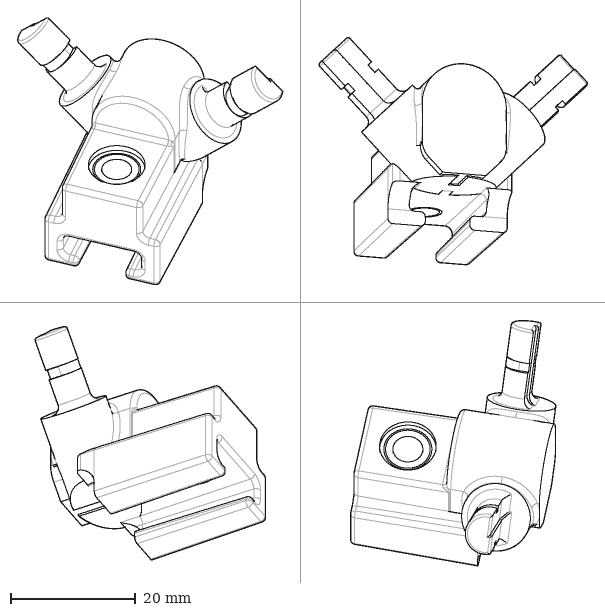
import cadquery as cq
import math

OVERALL_WIDTH = 44.55


BLOCK_FRONT_Y = -24.15
BLOCK_SPLIT_Y = -3.2
BLOCK_REAR_Y = 0.25
BLOCK_REAR_ROUND = 1.0
DRAFT_ANGLE = 0.6
BLOCK_HALF_WIDTH = 9.97
LEDGE_Z = 9.95
DECK_Z = 17.5
INNER_CORNER = 1.0
WALL_FOOT_Z = LEDGE_Z + INNER_CORNER
EDGE_ROUND = 0.8

SLOT_HALF_WIDTH = 6.45
SLOT_MOUTH_HALF_WIDTH = 3.75
LIP_HEIGHT = 2.35
SLOT_CEILING_Z = 6.2
COVE_RADIUS = 3.8

BARREL_RADIUS = 7.05
BARREL_AXIS_Z = 17.75
BARREL_FRONT_Y = -8.95
BARREL_REAR_Y = 6.32
BARREL_FOOT_Z = 6.4
BARREL_FOOT_HALF_WIDTH = 3.6
BARREL_SIDE_ROUND = 3.65
DECK_FILLET = 0.7

STUB_ORIGIN_Z = 7.1
BOSS_RADIUS = 5.55
BOSS_END = 15.67
BOSS_FILLET = 0.8
BOSS_RIM_CHAMFER = 0.1
STUB_RADIUS = 3.35
STUB_TIP_ROUND = 0.4
STUB_END = (
    (OVERALL_WIDTH / 2 - STUB_TIP_ROUND) * math.sqrt(2) - STUB_RADIUS + 2 * STUB_TIP_ROUND
)
STUB_ROOT_FILLET = 1.3
FLAT_Y_OUTER = 1.1
FLAT_Y_INNER = 0.7
GROOVE_START = 21.3
GROOVE_END = 22.9
GROOVE_NECK_RADIUS = 2.45

BUSHING_Y = -16.48
COUNTERBORE_DIAMETER = 9.1
COUNTERBORE_DEPTH = 1.0
RING_DIAMETER = 7.7
FLANGE_DIAMETER = 7.15
FLANGE_THICKNESS = 1.0
TUBE_DIAMETER = 5.6
BORE_DIAMETER = 4.8

DRAFT_SLOPE = math.tan(math.radians(DRAFT_ANGLE))
BUSHING_DRAFT = (BLOCK_SPLIT_Y - BUSHING_Y) * DRAFT_SLOPE
BUSHING_TOP_Z = DECK_Z - BUSHING_DRAFT - COUNTERBORE_DEPTH
BUSHING_FOOT_Z = SLOT_CEILING_Z + BUSHING_DRAFT


def section_plane(y):
    """Plane facing -Y, with local x along X and local y along Z."""
    return cq.Workplane("XZ", origin=(0, y, 0))


def block_section(plane):
    """Half of the C-shaped section as points, closed by its mirror image."""
    quarter = INNER_CORNER * (1 - math.sqrt(0.5))
    wall, slot, r = BARREL_RADIUS, SLOT_HALF_WIDTH, INNER_CORNER
    return (
        plane.moveTo(0, DECK_Z)
        .lineTo(wall, DECK_Z)
        .lineTo(wall, LEDGE_Z + r)
        .threePointArc((wall + quarter, LEDGE_Z + quarter), (wall + r, LEDGE_Z))
        .lineTo(BLOCK_HALF_WIDTH, LEDGE_Z)
        .lineTo(BLOCK_HALF_WIDTH, 0)
        .lineTo(SLOT_MOUTH_HALF_WIDTH, 0)
        .lineTo(SLOT_MOUTH_HALF_WIDTH, LIP_HEIGHT)
        .lineTo(slot - r, LIP_HEIGHT)
        .threePointArc((slot - quarter, LIP_HEIGHT + quarter), (slot, LIP_HEIGHT + r))
        .lineTo(slot, SLOT_CEILING_Z - r)
        .threePointArc((slot - quarter, SLOT_CEILING_Z - quarter), (slot - r, SLOT_CEILING_Z))
        .lineTo(0, SLOT_CEILING_Z)
        .mirrorY()
    )


def lengthwise_edges(block, corners):
    """Edges along Y that end at the given (half width, z) corners of the section, on both sides."""
    reach = 0.55
    edges = cq.Workplane()
    for half_width, z in corners:
        for x in (-half_width, half_width):
            low = (x - reach, BLOCK_FRONT_Y, z - reach)
            high = (x + reach, BLOCK_REAR_Y, z + reach)
            edges = edges.add(block.edges("not(#Y)").edges(cq.selectors.BoxSelector(low, high)))
    return edges.vals()


def make_front_block():
    length = BLOCK_SPLIT_Y - BLOCK_FRONT_Y
    block = block_section(section_plane(BLOCK_SPLIT_Y)).extrude(length, taper=DRAFT_ANGLE)
    corners = [
        (BARREL_RADIUS, DECK_Z),
        (BLOCK_HALF_WIDTH, LEDGE_Z),
        (BLOCK_HALF_WIDTH, 0),
        (SLOT_MOUTH_HALF_WIDTH, 0),
        (SLOT_MOUTH_HALF_WIDTH, LIP_HEIGHT),
    ]
    front_edges = block.faces("<Y").edges().vals()
    return block.newObject(front_edges + lengthwise_edges(block, corners)).fillet(EDGE_ROUND)


def make_rear_block():
    """Undrafted end of the block that carries on to the bosses."""
    length = BLOCK_REAR_Y - BLOCK_SPLIT_Y
    block = block_section(section_plane(BLOCK_REAR_Y)).extrude(length)
    corners = [(BLOCK_HALF_WIDTH, LEDGE_Z), (BLOCK_HALF_WIDTH, 0)]
    block = block.newObject(lengthwise_edges(block, corners)).fillet(EDGE_ROUND)
    rear_corners = [
        block.edges(cq.selectors.NearestToPointSelector((x, BLOCK_REAR_Y, LEDGE_Z / 2))).val()
        for x in (-BLOCK_HALF_WIDTH, BLOCK_HALF_WIDTH)
    ]
    return block.newObject(rear_corners).fillet(BLOCK_REAR_ROUND)


def barrel_arch(y, foot_z):
    """Straight-sided arch section of the barrel, standing on foot_z."""
    return (
        section_plane(y)
        .moveTo(-BARREL_RADIUS, foot_z)
        .lineTo(-BARREL_RADIUS, BARREL_AXIS_Z)
        .threePointArc((0, BARREL_AXIS_Z + BARREL_RADIUS), (BARREL_RADIUS, BARREL_AXIS_Z))
        .lineTo(BARREL_RADIUS, foot_z)
        .close()
    )


def make_front_barrel():
    """Front part of the barrel, standing on the block."""
    barrel = barrel_arch(BLOCK_SPLIT_Y, WALL_FOOT_Z).extrude(BLOCK_SPLIT_Y - BARREL_FRONT_Y)
    return barrel.faces("<Y").edges(">Z").fillet(EDGE_ROUND)


def make_rear_barrel():
    """Rear part of the barrel, which narrows to its foot along 45 degree planes."""
    r = BARREL_SIDE_ROUND
    slope_x = BARREL_RADIUS - r * (1 - math.sqrt(0.5))
    slope_z = BARREL_FOOT_Z + slope_x - BARREL_FOOT_HALF_WIDTH
    side_z = slope_z + r * math.sqrt(0.5)
    half_bend = math.radians(22.5)
    mid_x = BARREL_RADIUS - r * (1 - math.cos(half_bend))
    mid_z = side_z - r * math.sin(half_bend)
    top = barrel_arch(BARREL_REAR_Y, side_z).extrude(BARREL_REAR_Y - BLOCK_SPLIT_Y)
    foot = (
        section_plane(BARREL_REAR_Y)
        .moveTo(0, side_z)
        .lineTo(BARREL_RADIUS, side_z)
        .threePointArc((mid_x, mid_z), (slope_x, slope_z))
        .lineTo(BARREL_FOOT_HALF_WIDTH, BARREL_FOOT_Z)
        .lineTo(0, BARREL_FOOT_Z)
        .mirrorY()
        .extrude(BARREL_REAR_Y - BLOCK_SPLIT_Y)
    )
    return top.union(foot)


def stub_plane(distance):
    """Plane across the left stub axis; local x points to its inner, upper side, local y along Y."""
    offset = distance * math.sqrt(0.5)
    origin = (-offset, 0, STUB_ORIGIN_Z + offset)
    return cq.Workplane(cq.Plane(origin=origin, xDir=(1, 0, 1), normal=(-1, 0, 1)))


def make_boss():
    """Boss cylinder, cut off flush with the slot ceiling."""
    boss = stub_plane(0).circle(BOSS_RADIUS).extrude(BOSS_END)
    reach = 2 * BOSS_END
    below = cq.Workplane("XY").box(reach, reach, reach).translate((0, 0, SLOT_CEILING_Z - reach / 2))
    return boss.cut(below)


def make_boss_fillet():
    """Fillet between the boss and the straight barrel sides, above the foot of the block's wall."""
    boss = stub_plane(0).circle(BOSS_RADIUS).extrude(BOSS_END)
    depth = BARREL_REAR_Y - BARREL_FRONT_Y
    arch = barrel_arch(BARREL_REAR_Y + depth, -depth).extrude(3 * depth)
    joined = arch.union(boss).edges("%ELLIPSE or %BSPLINE").fillet(BOSS_FILLET)
    size = 4 * depth
    keep = section_plane(BARREL_REAR_Y).center(0, WALL_FOOT_Z + size / 2).rect(size, size).extrude(depth)
    return joined.cut(arch).intersect(keep)


def make_stub():
    """Half-round stub with a stepped flat, a tip round and a retaining groove."""
    size = 2 * STUB_RADIUS
    length = STUB_END - BOSS_END
    stub = stub_plane(BOSS_END).circle(STUB_RADIUS).extrude(length)
    for side_x, flat_y in [(-STUB_RADIUS, FLAT_Y_OUTER), (STUB_RADIUS, FLAT_Y_INNER)]:
        flat_cut = stub_plane(BOSS_END).center(side_x, flat_y + STUB_RADIUS).rect(size, size).extrude(length)
        stub = stub.cut(flat_cut)
    tip = cq.selectors.DirectionMinMaxSelector(stub_plane(STUB_END).plane.zDir, True)
    stub = stub.faces(tip).edges().fillet(STUB_TIP_ROUND)
    return stub.cut(make_groove())


def make_groove():
    """Space around the groove neck; the neck meets the stub's front line, so the groove runs out there."""
    width = GROOVE_END - GROOVE_START
    neck_y = GROOVE_NECK_RADIUS - STUB_RADIUS
    neck_width = 2 * GROOVE_NECK_RADIUS
    round_neck = stub_plane(GROOVE_START).center(0, neck_y).circle(GROOVE_NECK_RADIUS).extrude(width)
    straight_neck = (
        stub_plane(GROOVE_START)
        .center(0, neck_y + STUB_RADIUS)
        .rect(neck_width, 2 * STUB_RADIUS)
        .extrude(width)
    )
    around = stub_plane(GROOVE_START).circle(2 * STUB_RADIUS).extrude(width)
    return around.cut(round_neck).cut(straight_neck)


def make_arm():
    """Left boss with its stub, the fillet at the stub's root and the chamfered rim."""
    arm = make_boss().union(make_stub())
    end_center = stub_plane(BOSS_END).plane.origin.toTuple()
    end_face = arm.faces(cq.selectors.NearestToPointSelector(end_center))
    root_edges = end_face.val().innerWires()[0].Edges()
    rim_edges = end_face.val().outerWire().Edges()
    arm = arm.newObject(root_edges).fillet(STUB_ROOT_FILLET)
    arm = arm.newObject(rim_edges).chamfer(BOSS_RIM_CHAMFER)
    return arm.union(make_boss_fillet())


def make_under_cut():
    """Space below the rear end, rounded into the block by the cove."""
    r = COVE_RADIUS
    wide = 2 * BLOCK_HALF_WIDTH + 0.45
    quarter = r * (1 - math.sqrt(0.5))
    return (
        cq.Workplane("YZ", origin=(-wide / 2, 0, 0))
        .moveTo(BLOCK_SPLIT_Y, 0)
        .lineTo(BLOCK_SPLIT_Y, SLOT_CEILING_Z - r)
        .threePointArc(
            (BLOCK_SPLIT_Y + quarter, SLOT_CEILING_Z - quarter),
            (BLOCK_SPLIT_Y + r, SLOT_CEILING_Z),
        )
        .lineTo(BARREL_REAR_Y, SLOT_CEILING_Z)
        .lineTo(BARREL_REAR_Y, 0)
        .close()
        .extrude(wide)
    )


def cylinder(diameter, bottom_z, top_z):
    return cq.Workplane("XY", origin=(0, BUSHING_Y, bottom_z)).circle(diameter / 2).extrude(top_z - bottom_z)


def make_flange_seat(diameter):
    return cylinder(diameter, BUSHING_TOP_Z - FLANGE_THICKNESS, BUSHING_TOP_Z)


def make_bushing():
    tube = cylinder(TUBE_DIAMETER, BUSHING_FOOT_Z, BUSHING_TOP_Z)
    return tube.union(make_flange_seat(FLANGE_DIAMETER)).cut(cylinder(BORE_DIAMETER, 0, DECK_Z))


def make_ring():
    return make_flange_seat(RING_DIAMETER).cut(make_flange_seat(FLANGE_DIAMETER))


def make_housing():
    block = make_front_block().union(make_rear_block())
    housing = block.union(make_front_barrel()).union(make_rear_barrel())
    deck_z = DECK_Z - (BLOCK_SPLIT_Y - BARREL_FRONT_Y) * DRAFT_SLOPE
    deck_corner = cq.selectors.NearestToPointSelector((0, BARREL_FRONT_Y, deck_z))
    housing = housing.edges(deck_corner).fillet(DECK_FILLET)
    housing = housing.cut(make_under_cut())
    left_arm = make_arm()
    housing = housing.union(left_arm).union(left_arm.mirror("YZ"))
    housing = housing.cut(cylinder(COUNTERBORE_DIAMETER, BUSHING_TOP_Z, DECK_Z))
    housing = housing.cut(make_flange_seat(RING_DIAMETER))
    return housing.cut(cylinder(TUBE_DIAMETER, 0, DECK_Z))


housing = make_housing()
bushing = make_bushing()
ring = make_ring()
result = cq.Compound.makeCompound([housing.val(), bushing.val(), ring.val()])